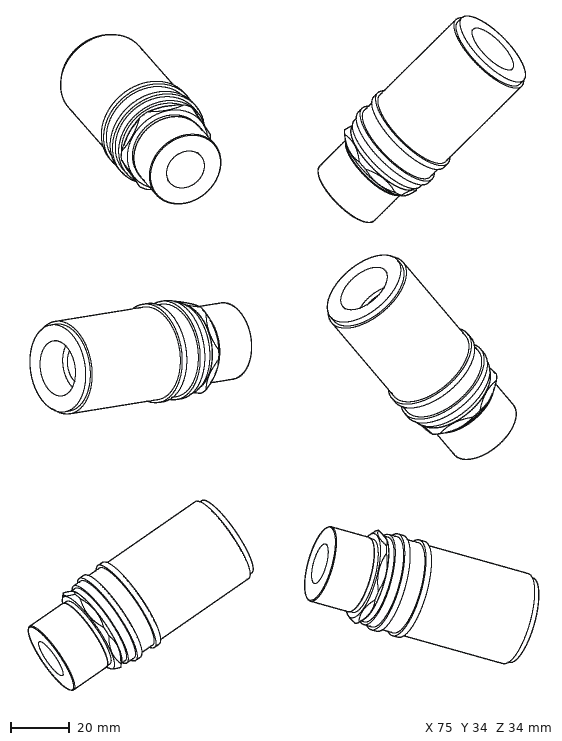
import cadquery as cq

length = 75.0
lip_end = 2.0
body_end = 54.0
hex_start = 55.95
hex_end = 59.0
thread_start = 60.45

lip_diameter = 30.0
body_diameter = 31.95
ring_diameter = 34.0
relief_diameter = 25.95
thread_diameter = 26.4

ring_width = 2.0
ring_starts = (40.95, 48.9)

hex_across_flats = 30.0
hex_peak_diameter = 32.9
hex_end_diameter = 29.7

bore_diameter = 13.95
counterbore_diameter = 19.0
counterbore_depth = 10.0

lead_in = 0.3


def cylinder(start, end, diameter):
    """Round section about the X axis between two places along it."""
    return cq.Workplane("YZ", origin=(start, 0, 0)).circle(diameter / 2).extrude(end - start)


def hexagon_nut():
    """Hexagon with flats facing +Z and -Z, trimmed by two cones meeting at mid-width."""
    width = hex_end - hex_start
    prism = (
        cq.Workplane("YZ", origin=(hex_start, 0, 0))
        .polygon(6, hex_across_flats, circumscribed=True)
        .extrude(width)
        .rotate((0, 0, 0), (1, 0, 0), 30)
    )
    double_cone = (
        cq.Workplane("XY")
        .moveTo(hex_start, 0)
        .lineTo(hex_start, hex_end_diameter / 2)
        .lineTo(hex_start + width / 2, hex_peak_diameter / 2)
        .lineTo(hex_end, hex_end_diameter / 2)
        .lineTo(hex_end, 0)
        .close()
        .revolve(360, (0, 0, 0), (1, 0, 0))
    )
    return prism.intersect(double_cone)


def threaded_end():
    """Plain cylinder in place of the thread, chamfered at both ends."""
    start_chamfer = (thread_diameter - relief_diameter) / 2
    return (
        cylinder(thread_start, length, thread_diameter)
        .faces("<X")
        .chamfer(start_chamfer)
        .faces(">X")
        .chamfer(lead_in)
    )


result = cylinder(0, lip_end, lip_diameter)
result = result.union(cylinder(lip_end, body_end, body_diameter))
for ring_start in ring_starts:
    result = result.union(cylinder(ring_start, ring_start + ring_width, ring_diameter))
result = result.union(cylinder(body_end, hex_start, lip_diameter))
result = result.union(hexagon_nut())
result = result.union(cylinder(hex_end, thread_start, relief_diameter))
result = result.union(threaded_end())

result = result.cut(cylinder(0, length, bore_diameter))
result = result.cut(cylinder(0, counterbore_depth, counterbore_diameter))